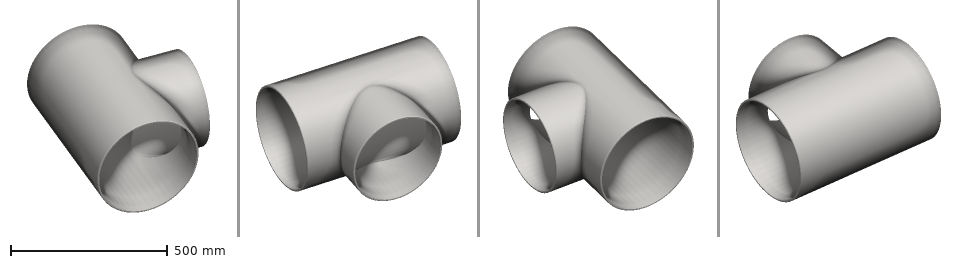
import cadquery as cq

run_length = 558.8
run_diameter = 355.6
branch_diameter = 323.85
branch_reach = 269.75
wall = 6.35
end_bevel = 2.0

run_plane = cq.Plane(origin=(-run_length / 2, 0, 0), xDir=(0, 0, 1), normal=(1, 0, 0))
branch_plane = cq.Plane(origin=(0, 0, 0), xDir=(0, 0, 1), normal=(0, 1, 0))


def cylinder(plane, diameter, length):
    """Round bar starting on the plane and running along its normal."""
    return cq.Workplane(plane).circle(diameter / 2).extrude(length)


def outside(plane, diameter, length, open_ends):
    """Outer body of a pipe, with the rims of its open ends bevelled."""
    return cylinder(plane, diameter, length).faces(open_ends).chamfer(end_bevel)


def bore(plane, diameter, length):
    """Space inside a pipe of the given outer diameter."""
    return cylinder(plane, diameter - 2 * wall, length)


run_outside = outside(run_plane, run_diameter, run_length, "<X or >X")
branch_outside = outside(branch_plane, branch_diameter, branch_reach, ">Y")
run_bore = bore(run_plane, run_diameter, run_length)
branch_bore = bore(branch_plane, branch_diameter, branch_reach)

result = run_outside.union(branch_outside).cut(run_bore).cut(branch_bore)